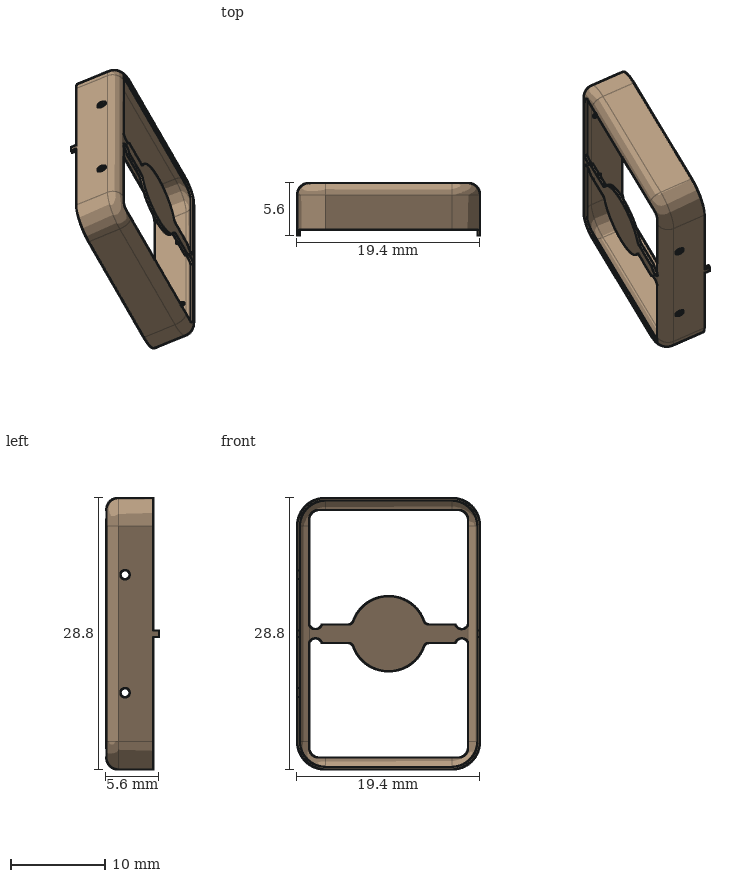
import cadquery as cq
import math

width = 19.4
height = 28.8
depth = 5.0
wall = 0.3
corner_radius = 3.0
lip_radius = 1.3
opening_corner_radius = 1.0

disc_radius = 4.0
strip_half_height = 1.0
strip_root_radius = 0.5
notch_radius = 0.7
notch_x = 7.75
neck_half_height = 0.5

hole_diameter = 0.95
hole_y = 3.0
hole_z = 6.25

tab_height = 0.7
tab_length = 0.6

opening_width = width - 2 * lip_radius
opening_height = height - 2 * lip_radius


def rounded_block(size_x, size_z, y_start, y_end, radius):
    """Rectangular block centred on the Y axis, with its four Y edges rounded."""
    block = cq.Workplane("XY").box(size_x, y_end - y_start, size_z)
    return block.edges("|Y").fillet(radius).translate((0, (y_start + y_end) / 2, 0))


def make_frame():
    outer = rounded_block(width, height, 0, depth, corner_radius)
    outer = outer.faces(">Y").edges().fillet(lip_radius)
    cavity = rounded_block(width - 2 * wall, height - 2 * wall, 0, depth - wall, corner_radius - wall)
    cavity = cavity.faces(">Y").edges().fillet(lip_radius - wall)
    opening = rounded_block(opening_width, opening_height, 0, depth, opening_corner_radius)
    return outer.cut(cavity).cut(opening)


def back_cylinder(radius, x, z):
    """Cylinder along Y that fills the thickness of the back sheet."""
    return cq.Workplane("XZ", origin=(x, depth, z)).circle(radius).extrude(wall)


def make_disc_and_strip():
    sheet_middle = depth - wall / 2
    strip = cq.Workplane("XY").box(opening_width, wall, 2 * strip_half_height)
    plate = strip.translate((0, sheet_middle, 0)).union(back_cylinder(disc_radius, 0, 0))

    root_x = math.sqrt(disc_radius**2 - strip_half_height**2)
    for x in (-root_x, root_x):
        for z in (-strip_half_height, strip_half_height):
            root_edge = cq.selectors.NearestToPointSelector((x, sheet_middle, z))
            plate = plate.edges("|Y").edges(root_edge).fillet(strip_root_radius)

    notch_z = neck_half_height + notch_radius
    for x in (-notch_x, notch_x):
        for z in (-notch_z, notch_z):
            plate = plate.cut(back_cylinder(notch_radius, x, z))
    return plate


def make_tab(side):
    tab = cq.Workplane("XY").box(wall, tab_length + wall, tab_height)
    return tab.translate((side * (width - wall) / 2, (wall - tab_length) / 2, 0))


def make_side_hole(z):
    hole = cq.Workplane("YZ").center(hole_y, z).circle(hole_diameter / 2)
    return hole.extrude(width / 2, both=True)


result = make_frame().union(make_disc_and_strip())
for side in (-1, 1):
    result = result.union(make_tab(side))
for z in (-hole_z, hole_z):
    result = result.cut(make_side_hole(z))